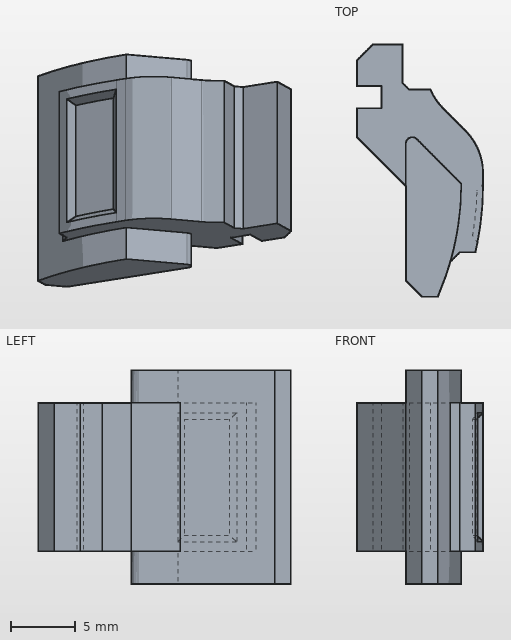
import cadquery as cq
import math

overall_width = 9.8
overall_length = 19.58
pad_height = 16.6
body_height = 11.5

body_radius = 23.8
pad_radius = 22.1
curve_center_x = overall_width - body_radius
curve_center_y = 8.77

hook_width = 3.55
hook_chamfer = 1.25
shoulder_y = overall_length - 3.5
shoulder_chamfer = 0.5
shoulder_end_x = 5.71
slot_far_y = overall_length - 3.25
slot_width = 1.7
slot_depth = 1.9

back_end_y = overall_length - 7.2
flank_radius = 4.7
flank_center_y = 9.57
body_end_y = 3.45
body_end_x = 7.98
body_end_chamfer = 1.0

pad_back_x = 3.8
pad_chamfer = 1.25
pad_nose_radius = 0.5
pad_nose_y = back_end_y

recess_margin = 0.75
recess_depth = 0.5

COS_45 = math.sqrt(0.5)


def curved_face_point(radius, y):
    """Point at position y on the curved face of the given radius."""
    x = curve_center_x + math.sqrt(radius**2 - (y - curve_center_y) ** 2)
    return (x, y)


def circle_point(center, radius, degrees):
    angle = math.radians(degrees)
    return (center[0] + radius * math.cos(angle), center[1] + radius * math.sin(angle))


def centered_prism(outline, height):
    """Extrude a closed XY outline symmetrically about Z = 0."""
    return outline.close().extrude(height / 2, both=True)


def make_body():
    convex_center = (overall_width - flank_radius, flank_center_y)
    convex_middle = circle_point(convex_center, flank_radius, 22.5)
    convex_end = circle_point(convex_center, flank_radius, 45)

    to_shoulder_x = shoulder_end_x - convex_end[0]
    to_shoulder_y = shoulder_y - convex_end[1]
    rise = (to_shoulder_x + to_shoulder_y) * COS_45
    concave_run = math.sqrt(flank_radius**2 - (flank_radius - rise) ** 2)
    straight_run = (to_shoulder_y - to_shoulder_x) * COS_45 - concave_run
    concave_start = circle_point(convex_end, straight_run, 135)
    concave_center = circle_point(concave_start, flank_radius, 45)
    concave_sweep = math.degrees(math.asin(concave_run / flank_radius))
    concave_middle = circle_point(concave_center, flank_radius, 225 - concave_sweep / 2)

    outline = (
        cq.Workplane("XY")
        .moveTo(0, back_end_y)
        .lineTo(0, overall_length - hook_chamfer)
        .lineTo(hook_chamfer, overall_length)
        .lineTo(hook_width, overall_length)
        .lineTo(hook_width, shoulder_y + shoulder_chamfer)
        .lineTo(hook_width + shoulder_chamfer, shoulder_y)
        .lineTo(shoulder_end_x, shoulder_y)
        .threePointArc(concave_middle, concave_start)
        .lineTo(*convex_end)
        .threePointArc(convex_middle, (overall_width, flank_center_y))
        .lineTo(overall_width, curve_center_y)
        .threePointArc(
            curved_face_point(body_radius, (curve_center_y + body_end_y) / 2),
            curved_face_point(body_radius, body_end_y),
        )
        .lineTo(body_end_x, body_end_y)
        .lineTo(body_end_x - body_end_chamfer, body_end_y - body_end_chamfer)
        .lineTo(pad_back_x, back_end_y - pad_back_x)
    )
    return centered_prism(outline, body_height)


def make_slot():
    slot_center = (slot_depth / 2, slot_far_y - slot_width / 2)
    return cq.Workplane("XY").center(*slot_center).box(slot_depth, slot_width, body_height)


def make_pad():
    nose_center = (pad_back_x + pad_nose_radius, pad_nose_y - pad_nose_radius)
    nose_end = circle_point(nose_center, pad_nose_radius, 45)
    pad_corner = (curve_center_x + pad_radius, curve_center_y)
    outline = (
        cq.Workplane("XY")
        .moveTo(pad_back_x, pad_chamfer)
        .lineTo(pad_back_x, nose_center[1])
        .threePointArc(circle_point(nose_center, pad_nose_radius, 112.5), nose_end)
        .lineTo(*pad_corner)
        .threePointArc(
            curved_face_point(pad_radius, curve_center_y / 2),
            curved_face_point(pad_radius, 0),
        )
        .lineTo(pad_back_x + pad_chamfer, 0)
    )
    return centered_prism(outline, pad_height)


def make_recess():
    """Ring sector straddling the curved face, chamfered along its floor to slope the walls."""
    mouth_height = body_height - 2 * recess_margin
    sweep = math.degrees(math.asin((curve_center_y - body_end_y - recess_margin) / body_radius))
    sector = (
        cq.Workplane("XZ")
        .center(body_radius, 0)
        .rect(2 * recess_depth, mouth_height)
        .revolve(sweep, (-body_radius, 0), (-body_radius, -1))
    )
    sloped = sector.faces("<X").edges().chamfer(recess_depth)
    return sloped.translate((curve_center_x, curve_center_y, 0))


result = make_body().cut(make_slot()).union(make_pad()).cut(make_recess())